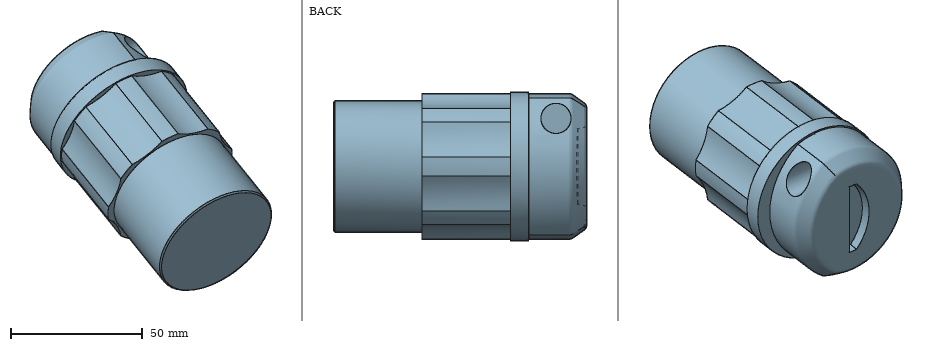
import cadquery as cq
import math

overall_length = 96.1

cap_radius = 27.7
cap_length = 22.2
cap_chamfer_length = 6.0
cap_chamfer_height = 4.2
cap_edge_radius = 2.4
flat_arc_radius = 32.1
flat_arc_center_y = -9.3
parting_y = 1.3
half_gap = 0.3

collar_radius = 28.2
collar_length = 6.8

grip_radius = 27.7
grip_end_x = 62.6
flute_count = 8
flute_half_angle = 15.0
flute_radius = 25.0

barrel_radius = 25.0
barrel_chamfer = 0.6

slot_arc_radius = 22.1
slot_edge_y = -7.9
slot_half_height = 15.1
slot_wall_depth = 3.4
slot_wall_taper = 0.7
slot_floor_angle = 4.0

hole_diameter = 11.4
hole_x = 11.7
hole_z = 18.25


def cylinder(radius, start_x, end_x):
    return cq.Workplane("YZ", origin=(start_x, 0, 0)).circle(radius).extrude(end_x - start_x)


def chamfered_disc(radius, center_y):
    """Disc with the cap's rounded chamfer around its front edge."""
    profile = [
        (0, center_y),
        (0, center_y + radius - cap_chamfer_height),
        (cap_chamfer_length, center_y + radius),
        (cap_length, center_y + radius),
        (cap_length, center_y),
    ]
    disc = (
        cq.Workplane("XY")
        .polyline(profile)
        .close()
        .revolve(360, (0, center_y, 0), (1, center_y, 0))
    )
    return disc.faces("%CONE").edges().fillet(cap_edge_radius)


def coin_slot():
    """Coin-shaped pocket: straight wall at the parting plane, tapered walls elsewhere."""
    center_y = slot_edge_y + slot_arc_radius
    floor_radius = slot_arc_radius - slot_wall_taper
    center_depth = slot_wall_depth + floor_radius * math.tan(math.radians(slot_floor_angle))
    coin = (
        cq.Workplane("XY")
        .moveTo(0, center_y)
        .lineTo(0, slot_edge_y)
        .lineTo(slot_wall_depth, slot_edge_y + slot_wall_taper)
        .lineTo(center_depth, center_y)
        .close()
        .revolve(360, (0, center_y, 0), (1, center_y, 0))
    )
    end_lean = slot_wall_taper * center_depth / slot_wall_depth
    deep_half_height = slot_half_height - end_lean
    end_walls = (
        cq.Workplane("XZ", origin=(0, parting_y, 0))
        .moveTo(0, -slot_half_height)
        .lineTo(center_depth, -deep_half_height)
        .lineTo(center_depth, deep_half_height)
        .lineTo(0, slot_half_height)
        .close()
        .extrude(parting_y - slot_edge_y)
    )
    return coin.intersect(end_walls)


def cross_hole():
    """Blind hole along Y, from the flattened side down to the parting plane."""
    return (
        cq.Workplane("XZ", origin=(hole_x, parting_y, hole_z))
        .circle(hole_diameter / 2)
        .extrude(-cap_radius)
    )


def half_clearance():
    """Thin gap that stops the +Y half of the cap just short of the collar."""
    return cq.Workplane("XY").box(
        half_gap, cap_radius, 2 * cap_radius, centered=(False, False, True)
    ).translate((cap_length - half_gap, parting_y, 0))


def fluted_grip(start_x):
    """Round grip with evenly spaced concave flutes."""
    chord_distance = grip_radius * math.cos(math.radians(flute_half_angle))
    half_chord = grip_radius * math.sin(math.radians(flute_half_angle))
    cutter_distance = chord_distance + math.sqrt(flute_radius**2 - half_chord**2)
    first_flute_angle = 180 / flute_count
    cutters = (
        cq.Workplane("YZ", origin=(start_x, 0, 0))
        .polarArray(cutter_distance, first_flute_angle, 360, flute_count)
        .circle(flute_radius)
        .extrude(grip_end_x - start_x, combine=False)
    )
    grip = cylinder(grip_radius, start_x, grip_end_x)
    for cutter in cutters.vals():
        grip = grip.cut(cq.Workplane(cutter))
    return grip


collar_end_x = cap_length + collar_length

cap = chamfered_disc(cap_radius, 0).intersect(chamfered_disc(flat_arc_radius, flat_arc_center_y))
cap = cap.cut(coin_slot()).cut(cross_hole()).cut(half_clearance())
collar = cylinder(collar_radius, cap_length, collar_end_x)
barrel = cylinder(barrel_radius, collar_end_x, overall_length).faces(">X").chamfer(barrel_chamfer)

result = cap.union(collar).union(barrel).union(fluted_grip(collar_end_x))